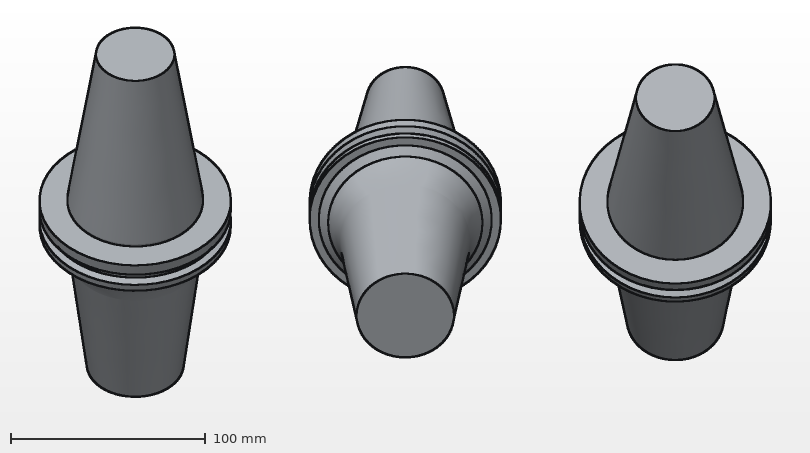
import cadquery as cq

total_height = 216.7
nose_top = 75.2
flare_top = 93.5
flange_bottom = 96.6
flange_top = 114.5
shank_collar_height = 1.3
groove_floor_bottom = 102.5
groove_floor_top = 106.2
groove_chamfer_height = 1.7

nose_end_radius = 50.0 / 2
nose_top_radius = 67.2 / 2
flare_top_radius = 79.3 / 2
flange_cone_radius = 88.8 / 2
flange_radius = 98.4 / 2
groove_radius = 91.2 / 2
shank_radius = 69.8 / 2

shank_taper = 7 / 24
shank_base = flange_top + shank_collar_height
shank_end_radius = shank_radius - (total_height - shank_base) * shank_taper / 2

profile = (
    cq.Workplane("XZ")
    .lineTo(nose_end_radius, 0)
    .lineTo(nose_top_radius, nose_top)
    .tangentArcPoint((flare_top_radius, flare_top), relative=False)
    .lineTo(flange_cone_radius, flange_bottom)
    .lineTo(flange_radius, flange_bottom)
    .lineTo(flange_radius, groove_floor_bottom - groove_chamfer_height)
    .lineTo(groove_radius, groove_floor_bottom)
    .lineTo(groove_radius, groove_floor_top)
    .lineTo(flange_radius, groove_floor_top + groove_chamfer_height)
    .lineTo(flange_radius, flange_top)
    .lineTo(shank_radius, flange_top)
    .lineTo(shank_radius, shank_base)
    .lineTo(shank_end_radius, total_height)
    .lineTo(0, total_height)
    .close()
)

result = profile.revolve(360, (0, 0, 0), (0, 1, 0))